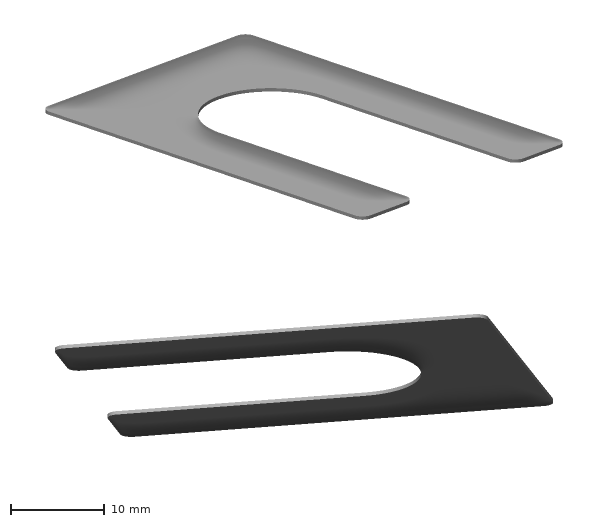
import cadquery as cq

length = 47.75
width = 31.75
thickness = 0.4
slot_width = 15.75
closed_end_web = 11.15
corner_radius = 1.25

slot_radius = slot_width / 2
slot_center_x = -length / 2 + closed_end_web + slot_radius

plate = cq.Workplane("XY").box(length, width, thickness)

slot = (
    cq.Workplane("XY", origin=(0, 0, -thickness / 2))
    .moveTo(length / 2, slot_radius)
    .lineTo(slot_center_x, slot_radius)
    .threePointArc((slot_center_x - slot_radius, 0), (slot_center_x, -slot_radius))
    .lineTo(length / 2, -slot_radius)
    .close()
    .extrude(thickness)
)

vertical_corners = "(|Z and >X) or (|Z and <X)"
result = plate.cut(slot).edges(vertical_corners).fillet(corner_radius)